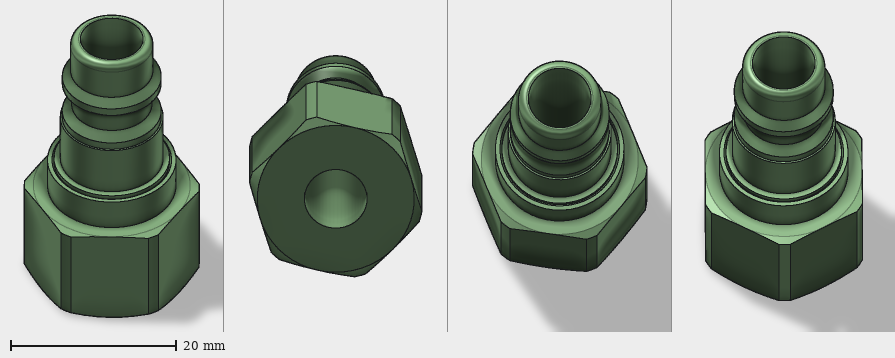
import cadquery as cq
import math

total_height = 36.5
hex_across_flats = 19.0
hex_corner_diameter = 21.2
hex_height = 12.95
top_chamfer_angle = 7.0
bottom_chamfer_angle = 30.0

collar_diameter = 15.6
step_diameter = 14.0
body_diameter = 12.5
shoulder_diameter = 12.0
neck_diameter = 9.75
tip_diameter = 10.0
bore_diameter = 7.6

collar_top = 17.05
step_top = 17.37
body_top = 23.98
shoulder_edge = 25.0
neck_bottom = 26.02
neck_top = 28.45
flange_bottom = 29.42
flange_top = 30.48
tip_bottom = 31.45
tip_fillet = 1.0

groove_outer_diameter = 14.5
groove_depth = (groove_outer_diameter - step_diameter) / 2


def hexagon_base():
    """Hexagon with corners on the Y axis, its corners turned round and chamfered at both ends."""
    corner_to_corner = hex_across_flats / math.cos(math.radians(30))
    prism = cq.Workplane("XY").polygon(6, corner_to_corner).extrude(hex_height)
    prism = prism.rotate((0, 0, 0), (0, 0, 1), 30)

    face_radius = hex_across_flats / 2
    corner_radius = hex_corner_diameter / 2
    chamfer_width = corner_radius - face_radius
    bottom_drop = chamfer_width * math.tan(math.radians(bottom_chamfer_angle))
    top_drop = chamfer_width * math.tan(math.radians(top_chamfer_angle))
    envelope = (
        cq.Workplane("XZ")
        .moveTo(0, 0)
        .lineTo(face_radius, 0)
        .lineTo(corner_radius, bottom_drop)
        .lineTo(corner_radius, hex_height - top_drop)
        .lineTo(face_radius, hex_height)
        .lineTo(0, hex_height)
        .close()
        .revolve(360, (0, 0, 0), (0, 1, 0))
    )
    return prism.intersect(envelope)


def turned_plug():
    """Collar, step, body, neck, flange and rounded tip as one revolved profile."""
    tip_radius = tip_diameter / 2
    arc_offset = tip_fillet * math.sqrt(0.5)
    fillet_center = (tip_radius - tip_fillet, total_height - tip_fillet)
    return (
        cq.Workplane("XZ")
        .moveTo(0, 0)
        .lineTo(collar_diameter / 2, 0)
        .lineTo(collar_diameter / 2, collar_top)
        .lineTo(groove_outer_diameter / 2, collar_top)
        .lineTo(step_diameter / 2, collar_top - groove_depth)
        .lineTo(step_diameter / 2, step_top)
        .lineTo(body_diameter / 2, step_top)
        .lineTo(body_diameter / 2, body_top)
        .lineTo(shoulder_diameter / 2, body_top)
        .lineTo(shoulder_diameter / 2, shoulder_edge)
        .lineTo(neck_diameter / 2, neck_bottom)
        .lineTo(neck_diameter / 2, neck_top)
        .lineTo(shoulder_diameter / 2, flange_bottom)
        .lineTo(shoulder_diameter / 2, flange_top)
        .lineTo(tip_radius, tip_bottom)
        .lineTo(tip_radius, fillet_center[1])
        .threePointArc(
            (fillet_center[0] + arc_offset, fillet_center[1] + arc_offset),
            (fillet_center[0], total_height),
        )
        .lineTo(0, total_height)
        .close()
        .revolve(360, (0, 0, 0), (0, 1, 0))
    )


through_bore = cq.Workplane("XY").circle(bore_diameter / 2).extrude(total_height)

result = hexagon_base().union(turned_plug()).cut(through_bore)